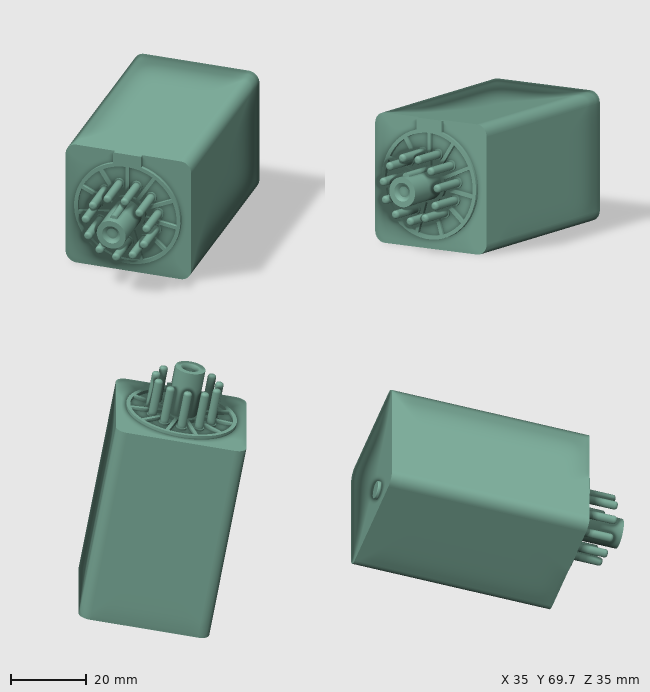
import cadquery as cq
import math


case_width = 35.0
case_depth = 54.8
corner_radius = 3.0
plate_thickness = 1.75
cap_thickness = 3.0
housing_depth = case_depth - plate_thickness - cap_thickness

disc_radius = 14.8
disc_height = 1.0
tab_width = 7.8
tab_edge_radius = 0.3

pocket_outer_radius = 13.8
pocket_inner_radius = 5.0
pocket_depth = disc_height
spoke_width = 1.0

pin_count = 11
pin_pitch = 360 / pin_count
pin_circle_radius = 8.55
pin_radius = 1.1
pin_length = 9.6
pin_tip_radius = 0.8
collar_radius = 1.45
collar_height = 0.5

post_radius = 4.05
post_length = 12.9
key_radius = 1.0
key_rise = 0.9
key_length = 11.15
recess_radius = 2.5
recess_floor_radius = 1.45
recess_depth = 0.85

button_radius = 2.45
button_height = 1.0
button_edge_radius = 0.2
button_x = -6.25
button_z = -11.15

disc_front = -disc_height
pocket_floor = disc_front + pocket_depth
post_front = disc_front - post_length
cap_front = plate_thickness + housing_depth


def toward_front(y):
    """Sketch plane at the given Y whose extrusions run toward -Y."""
    return cq.Workplane("XZ", origin=(0, y, 0))


def case_slice(front, thickness):
    """Slice of the round-cornered case that runs back from the given Y."""
    block = toward_front(front + thickness).rect(case_width, case_width).extrude(thickness)
    return block.edges("|Y").fillet(corner_radius)


def front_cylinder(radius, back, length, x=0, z=0):
    """Cylinder that starts at the given Y and runs toward -Y."""
    return toward_front(back).center(x, z).circle(radius).extrude(length)


def raised_disc():
    """Disc on the base plate, with the tab that reaches up to the top of the case."""
    tab_top = case_width / 2
    tab = toward_front(0).center(0, tab_top / 2).rect(tab_width, tab_top).extrude(disc_height)
    tab = tab.edges("|Y and >Z").fillet(tab_edge_radius)
    return front_cylinder(disc_radius, 0, disc_height).union(tab)


def pockets():
    """Ring-shaped cut divided by the spokes that stay standing."""
    ring = front_cylinder(pocket_outer_radius, pocket_floor, pocket_depth)
    ring = ring.cut(front_cylinder(pocket_inner_radius, pocket_floor, pocket_depth))
    spoke = (
        toward_front(pocket_floor)
        .center(0, pocket_outer_radius / 2)
        .rect(spoke_width, pocket_outer_radius)
        .extrude(pocket_depth)
    )
    for index in range(pin_count):
        ring = ring.cut(spoke.rotate((0, 0, 0), (0, 1, 0), index * pin_pitch))
    return ring


def contact_pin(x, z):
    """Round-tipped pin standing on its collar."""
    pin = front_cylinder(pin_radius, pocket_floor, pocket_depth + pin_length, x, z)
    pin = pin.faces("<Y").edges().fillet(pin_tip_radius)
    return pin.union(front_cylinder(collar_radius, pocket_floor, collar_height, x, z))


def guide_post():
    """Central post with its key on top and a conical recess in its end."""
    post = front_cylinder(post_radius, disc_front, post_length)
    key_z = post_radius + key_rise - key_radius
    key = front_cylinder(key_radius, disc_front, key_length, 0, key_z)
    recess = cq.Solid.makeCone(
        recess_radius,
        recess_floor_radius,
        recess_depth,
        cq.Vector(0, post_front, 0),
        cq.Vector(0, 1, 0),
    )
    return post.union(key).cut(cq.Workplane(recess))


def make_base():
    """Base plate in one piece with the disc, the pins and the guide post."""
    base = case_slice(0, plate_thickness).union(raised_disc()).cut(pockets())
    for index in range(pin_count):
        angle = math.radians(index * pin_pitch - 90)
        pin_x = pin_circle_radius * math.cos(angle)
        pin_z = pin_circle_radius * math.sin(angle)
        base = base.union(contact_pin(pin_x, pin_z))
    return base.union(guide_post())


def make_housing():
    """Middle part of the case."""
    return case_slice(plate_thickness, housing_depth)


def make_cap():
    """Rear end of the case."""
    return case_slice(cap_front, cap_thickness)


def make_button():
    """Round-edged button that sits on the rear face of the cap."""
    button = front_cylinder(button_radius, case_depth + button_height, button_height, button_x, button_z)
    return button.faces(">Y").edges().fillet(button_edge_radius)


base = make_base()
housing = make_housing()
cap = make_cap()
button = make_button()

result = cq.Compound.makeCompound([base.val(), housing.val(), cap.val(), button.val()])